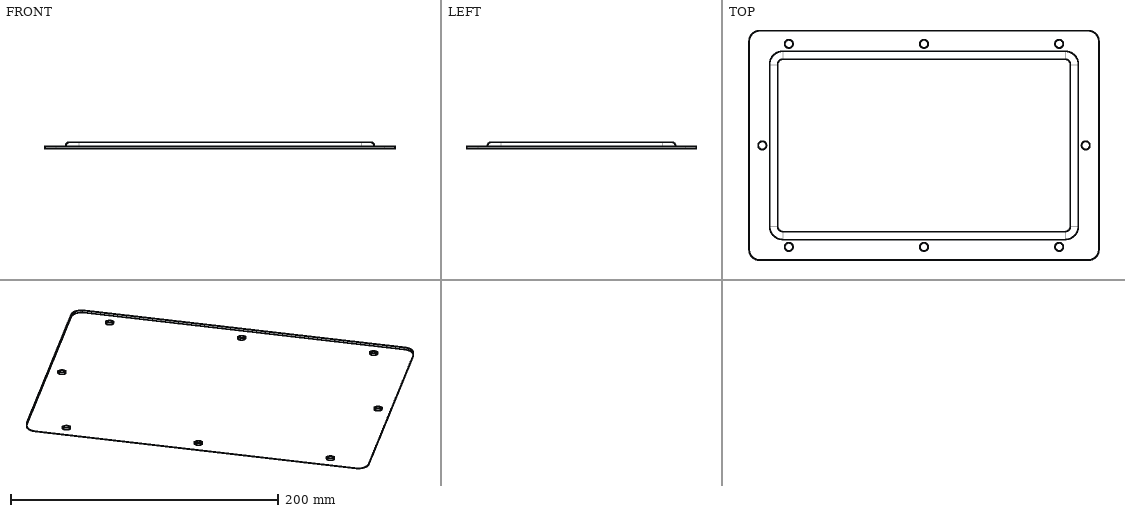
import cadquery as cq

plate_length = 262.0
plate_width = 172.0
plate_thickness = 2.0
plate_corner_radius = 8.0

hole_diameter = 6.0
hole_edge_inset = 10.0
corner_hole_x = 101.1
end_hole_x = plate_length / 2 - hole_edge_inset
side_hole_y = plate_width / 2 - hole_edge_inset

overall_height = 5.0
cord_radius = overall_height - plate_thickness
cord_edge_inset = 15.5
cord_outer_corner_radius = 10.0
cord_path_corner_radius = cord_outer_corner_radius - cord_radius
cord_path_length = plate_length - 2 * (cord_edge_inset + cord_radius)
cord_path_width = plate_width - 2 * (cord_edge_inset + cord_radius)


def make_plate():
    """Flat plate with rounded corners and a ring of through holes."""
    hole_points = [(-end_hole_x, 0), (end_hole_x, 0)]
    for y in (-side_hole_y, side_hole_y):
        for x in (-corner_hole_x, 0, corner_hole_x):
            hole_points.append((x, y))

    return (
        cq.Workplane("XY")
        .rect(plate_length, plate_width)
        .extrude(plate_thickness)
        .edges("|Z")
        .fillet(plate_corner_radius)
        .faces(">Z")
        .workplane()
        .pushPoints(hole_points)
        .hole(hole_diameter)
    )


def make_cord():
    """Half-round section swept around a rounded rectangle on the plate's top face."""
    sharp_path = (
        cq.Workplane("XY", origin=(0, 0, plate_thickness))
        .rect(cord_path_length, cord_path_width)
        .val()
    )
    path = sharp_path.fillet2D(cord_path_corner_radius, sharp_path.Vertices())

    return (
        cq.Workplane("XZ", origin=(-cord_path_length / 2, 0, plate_thickness))
        .moveTo(-cord_radius, 0)
        .threePointArc((0, cord_radius), (cord_radius, 0))
        .close()
        .sweep(path)
    )


plate = make_plate()
cord = make_cord()

result = cq.Compound.makeCompound([plate.val(), cord.val()])